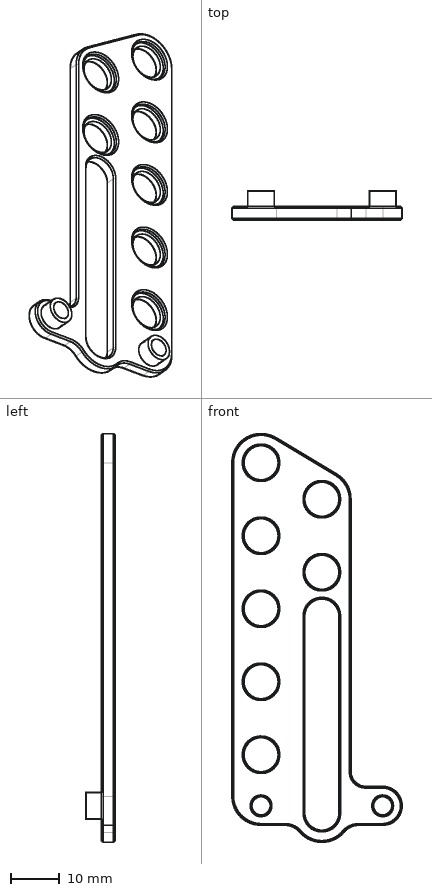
import cadquery as cq
import math

PLATE_THICKNESS = 2.8
EDGE_CHAMFER = 0.35

LEFT_COLUMN_X = 0.0
RIGHT_COLUMN_X = 12.5
HOLE_DIAMETER = 7.0
COUNTERBORE_DIAMETER = 8.5
COUNTERBORE_DEPTH = 1.0
HOLE_PITCH = 15.0
LEFT_HOLE_COUNT = 5
RIGHT_HOLE_COUNT = 2
LOWEST_HOLE_Z = 10.5
TOP_LEFT_HOLE_Z = LOWEST_HOLE_Z + (LEFT_HOLE_COUNT - 1) * HOLE_PITCH
TOP_RIGHT_HOLE_Z = TOP_LEFT_HOLE_Z - HOLE_PITCH / 2

SLOT_WIDTH = HOLE_DIAMETER
SLOT_BOTTOM_Z = -1.5
SLOT_TOP_Z = 39.0

PIN_SPACING = 25.0
PIN_DIAMETER = 5.5
PIN_BORE = 3.75
PIN_HEIGHT = 3.2
PIN_CENTERS = [(LEFT_COLUMN_X, 0.0), (LEFT_COLUMN_X + PIN_SPACING, 0.0)]

CORNER_RADIUS = 6.0
TAB_RADIUS = 4.0
TAB_FILLET = 3.0
BULGE_RADIUS = 6.0
BULGE_FILLET = 4.0


def polar(center, radius, angle):
    """Point on a circle, angle in radians from +X."""
    return (center[0] + radius * math.cos(angle), center[1] + radius * math.sin(angle))


def plate_outline():
    """Closed XZ outline, drawn clockwise from the lower end of the left side."""
    left = LEFT_COLUMN_X - CORNER_RADIUS
    right = RIGHT_COLUMN_X + CORNER_RADIUS
    bottom = -TAB_RADIUS
    tab_x = PIN_CENTERS[1][0]
    top_left = (LEFT_COLUMN_X, TOP_LEFT_HOLE_Z)
    top_right = (RIGHT_COLUMN_X, TOP_RIGHT_HOLE_Z)
    bottom_left = (LEFT_COLUMN_X, bottom + CORNER_RADIUS)
    bulge = (RIGHT_COLUMN_X, SLOT_BOTTOM_Z)

    run = RIGHT_COLUMN_X - LEFT_COLUMN_X
    drop = TOP_LEFT_HOLE_Z - TOP_RIGHT_HOLE_Z
    slope_normal = math.pi / 2 - math.atan2(drop, run)

    fillet_z = bottom - BULGE_FILLET
    fillet_rise = SLOT_BOTTOM_Z - fillet_z
    fillet_reach = BULGE_RADIUS + BULGE_FILLET
    fillet_offset = math.sqrt(fillet_reach**2 - fillet_rise**2)
    fillet_left = (RIGHT_COLUMN_X - fillet_offset, fillet_z)
    fillet_right = (RIGHT_COLUMN_X + fillet_offset, fillet_z)
    join_angle = math.atan2(fillet_rise, fillet_offset)
    middle_angle = (join_angle + math.pi / 2) / 2

    tab_fillet = (right + TAB_FILLET, TAB_RADIUS + TAB_FILLET)

    return (
        cq.Workplane("XZ")
        .moveTo(left, bottom_left[1])
        .lineTo(left, TOP_LEFT_HOLE_Z)
        .threePointArc(
            polar(top_left, CORNER_RADIUS, (math.pi + slope_normal) / 2),
            polar(top_left, CORNER_RADIUS, slope_normal),
        )
        .lineTo(*polar(top_right, CORNER_RADIUS, slope_normal))
        .threePointArc(
            polar(top_right, CORNER_RADIUS, slope_normal / 2),
            (right, TOP_RIGHT_HOLE_Z),
        )
        .lineTo(right, tab_fillet[1])
        .threePointArc(
            polar(tab_fillet, TAB_FILLET, math.radians(225)),
            (tab_fillet[0], TAB_RADIUS),
        )
        .lineTo(tab_x, TAB_RADIUS)
        .threePointArc((tab_x + TAB_RADIUS, 0), (tab_x, bottom))
        .lineTo(fillet_right[0], bottom)
        .threePointArc(
            polar(fillet_right, BULGE_FILLET, math.pi - middle_angle),
            polar(fillet_right, BULGE_FILLET, math.pi - join_angle),
        )
        .threePointArc(
            (bulge[0], bulge[1] - BULGE_RADIUS),
            polar(fillet_left, BULGE_FILLET, join_angle),
        )
        .threePointArc(
            polar(fillet_left, BULGE_FILLET, middle_angle),
            (fillet_left[0], bottom),
        )
        .lineTo(LEFT_COLUMN_X, bottom)
        .threePointArc(
            polar(bottom_left, CORNER_RADIUS, math.radians(225)),
            (left, bottom_left[1]),
        )
        .close()
    )


def hole_centers():
    """Centers of both columns of large holes, from the top down."""
    left = [(LEFT_COLUMN_X, TOP_LEFT_HOLE_Z - i * HOLE_PITCH) for i in range(LEFT_HOLE_COUNT)]
    right = [(RIGHT_COLUMN_X, TOP_RIGHT_HOLE_Z - i * HOLE_PITCH) for i in range(RIGHT_HOLE_COUNT)]
    return left + right


def through_cut(sketch):
    """Solid that cuts the sketch through the plate, from Y = 0 toward +Y."""
    return sketch.extrude(-PLATE_THICKNESS)


def cut_counterbores(plate):
    """Counterbore the large holes from the rear face and chamfer each rim."""
    counterbore_radius = COUNTERBORE_DIAMETER / 2
    counterbores = (
        cq.Workplane("XZ", origin=(0, PLATE_THICKNESS, 0))
        .pushPoints(hole_centers())
        .circle(counterbore_radius)
        .extrude(COUNTERBORE_DEPTH)
    )
    plate = plate.cut(counterbores)
    for x, z in hole_centers():
        rim = cq.Solid.makeCone(
            counterbore_radius + EDGE_CHAMFER,
            counterbore_radius,
            EDGE_CHAMFER,
            pnt=cq.Vector(x, PLATE_THICKNESS, z),
            dir=cq.Vector(0, -1, 0),
        )
        plate = plate.cut(cq.Workplane(rim))
    return plate


def make_plate():
    """Plate with counterbored holes and slot, chamfered around the edges of both faces."""
    plate = plate_outline().extrude(-PLATE_THICKNESS)
    holes = cq.Workplane("XZ").pushPoints(hole_centers()).circle(HOLE_DIAMETER / 2)
    slot_length = SLOT_TOP_Z - SLOT_BOTTOM_Z + SLOT_WIDTH
    slot_middle_z = (SLOT_TOP_Z + SLOT_BOTTOM_Z) / 2
    slot = (
        cq.Workplane("XZ")
        .center(RIGHT_COLUMN_X, slot_middle_z)
        .slot2D(slot_length, SLOT_WIDTH, 90)
    )
    plate = plate.cut(through_cut(holes)).cut(through_cut(slot))
    plate = plate.faces("<Y or >Y").edges().chamfer(EDGE_CHAMFER)
    return cut_counterbores(plate)


def add_pins(plate):
    """Add the rear pins and bore them through, with a chamfered mouth on the front face."""
    total_depth = PLATE_THICKNESS + PIN_HEIGHT
    pins = (
        cq.Workplane("XZ", origin=(0, PLATE_THICKNESS, 0))
        .pushPoints(PIN_CENTERS)
        .circle(PIN_DIAMETER / 2)
        .extrude(-PIN_HEIGHT)
    )
    bores = cq.Workplane("XZ").pushPoints(PIN_CENTERS).circle(PIN_BORE / 2).extrude(-total_depth)
    body = plate.union(pins).cut(bores)
    mouths = body.faces("<Y").edges(cq.selectors.RadiusNthSelector(0))
    return mouths.chamfer(EDGE_CHAMFER)


result = add_pins(make_plate())